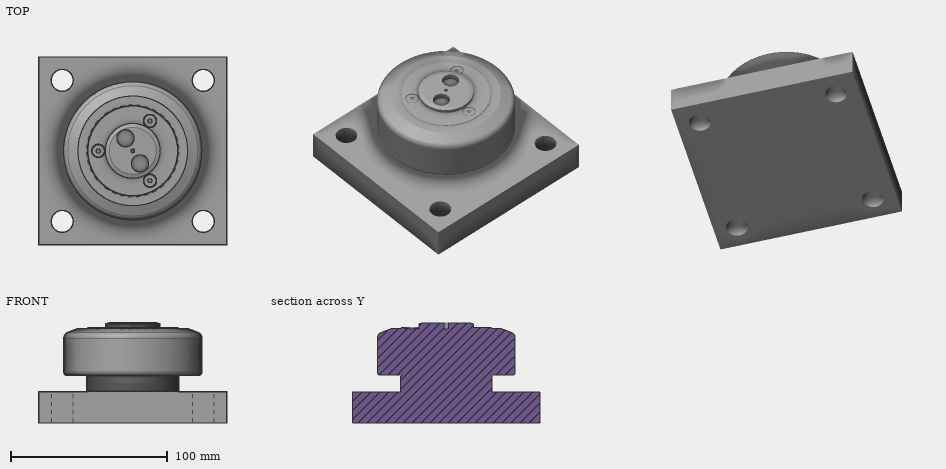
import cadquery as cq
import math

plate_side = 120.0
plate_thickness = 20.0
mount_hole_spacing = 90.0
mount_hole_diameter = 13.84

neck_diameter = 59.0
neck_chamfer = 0.5

spacer_diameter = 57.8
spacer_height = 0.5

roller_diameter = 88.3
roller_width = 30.0
roller_gap = 10.4
roller_top_diameter = 70.0
cone_angle = 21.0
shoulder_radius = 4.1
lower_edge_radius = 2.0

cover_diameter = 57.8
cover_rise = 0.6
cover_chamfer = 0.3

overall_height = 64.0
pin_diameter = 35.0
pin_top_diameter = 30.0
pin_cone_height = 0.67
spanner_hole_diameter = 11.0
spanner_hole_depth = 4.0
spanner_circle_radius = 9.25
spanner_hole_angle = 120.0
centre_hole_diameter = 2.5
centre_hole_depth = 4.0

screw_count = 3
screw_first_angle = 60.0
screw_circle_radius = 22.0
screw_bore_diameter = 8.6
screw_bore_depth = 1.0
screw_head_diameter = 7.8
screw_head_height = 0.8
screw_socket_flats = 2.5
screw_socket_depth = 0.7

roller_bottom_z = plate_thickness + roller_gap
roller_top_z = roller_bottom_z + roller_width
cover_top_z = roller_top_z + cover_rise


def disc(diameter, bottom_z, top_z, x=0.0, y=0.0):
    """Vertical cylinder between two levels."""
    return cq.Workplane("XY", origin=(x, y, bottom_z)).circle(diameter / 2).extrude(top_z - bottom_z)


def polar(radius, angle):
    """Point on a circle about the part's axis, with the angle in degrees."""
    return radius * math.cos(math.radians(angle)), radius * math.sin(math.radians(angle))


def make_plate():
    """Square plate with four mounting holes."""
    plate = cq.Workplane("XY").box(plate_side, plate_side, plate_thickness, centered=(True, True, False))
    return (
        plate.faces(">Z")
        .workplane()
        .rect(mount_hole_spacing, mount_hole_spacing, forConstruction=True)
        .vertices()
        .hole(mount_hole_diameter)
    )


def make_neck():
    """Round neck, chamfered at its foot, with a narrower spacer ring on top."""
    spacer_bottom_z = roller_bottom_z - spacer_height
    neck = disc(neck_diameter, plate_thickness, spacer_bottom_z).faces("<Z").chamfer(neck_chamfer)
    return neck.union(disc(spacer_diameter, spacer_bottom_z, roller_bottom_z))


def make_roller():
    """Revolved roller whose cone and lower edge run into the rim through tangent arcs."""
    rim_radius = roller_diameter / 2
    top_radius = roller_top_diameter / 2
    slope = math.radians(cone_angle)

    shoulder_x = rim_radius - shoulder_radius
    tangent_x = shoulder_x + shoulder_radius * math.sin(slope)
    tangent_z = roller_top_z - (tangent_x - top_radius) * math.tan(slope)
    shoulder_z = tangent_z - shoulder_radius * math.cos(slope)
    middle_angle = (math.pi / 2 - slope) / 2
    shoulder_middle = (
        shoulder_x + shoulder_radius * math.cos(middle_angle),
        shoulder_z + shoulder_radius * math.sin(middle_angle),
    )

    lower_x = rim_radius - lower_edge_radius
    lower_z = roller_bottom_z + lower_edge_radius
    lower_reach = lower_edge_radius * math.sqrt(0.5)

    profile = (
        cq.Workplane("XZ")
        .moveTo(0, roller_bottom_z)
        .lineTo(lower_x, roller_bottom_z)
        .threePointArc((lower_x + lower_reach, lower_z - lower_reach), (rim_radius, lower_z))
        .lineTo(rim_radius, shoulder_z)
        .threePointArc(shoulder_middle, (tangent_x, tangent_z))
        .lineTo(top_radius, roller_top_z)
        .lineTo(0, roller_top_z)
        .close()
    )
    return profile.revolve(360, (0, 0, 0), (0, 1, 0))


def make_pin():
    """Exposed pin end with a shallow cone around its top face."""
    pin_radius = pin_diameter / 2
    profile = (
        cq.Workplane("XZ")
        .moveTo(0, cover_top_z)
        .lineTo(pin_radius, cover_top_z)
        .lineTo(pin_radius, overall_height - pin_cone_height)
        .lineTo(pin_top_diameter / 2, overall_height)
        .lineTo(0, overall_height)
        .close()
    )
    return profile.revolve(360, (0, 0, 0), (0, 1, 0))


def cut_pin_holes(body):
    """Cut two opposite spanner holes and a small centre hole into the pin end."""
    for angle in (spanner_hole_angle, spanner_hole_angle + 180):
        x, y = polar(spanner_circle_radius, angle)
        body = body.cut(disc(spanner_hole_diameter, overall_height - spanner_hole_depth, overall_height, x, y))
    return body.cut(disc(centre_hole_diameter, overall_height - centre_hole_depth, overall_height))


def hexagonal_socket(head_top_z, x, y):
    """Hexagonal prism filling the socket of one screw, with corners along X."""
    corner_diameter = screw_socket_flats / math.cos(math.pi / 6)
    origin = (x, y, head_top_z - screw_socket_depth)
    return cq.Workplane("XY", origin=origin).polygon(6, corner_diameter).extrude(screw_socket_depth)


def cut_cover_screws(body):
    """Cut the counterbores around the cover screws, leaving each head with its socket."""
    for index in range(screw_count):
        x, y = polar(screw_circle_radius, screw_first_angle + index * 360 / screw_count)
        bore_floor_z = cover_top_z - screw_bore_depth
        head_top_z = bore_floor_z + screw_head_height
        bore = disc(screw_bore_diameter, bore_floor_z, cover_top_z, x, y)
        head = disc(screw_head_diameter, bore_floor_z, head_top_z, x, y)
        socket = hexagonal_socket(head_top_z, x, y)
        body = body.cut(bore.cut(head.cut(socket)))
    return body


def make_cover():
    """Raised disc with a small chamfer around its top edge."""
    return disc(cover_diameter, roller_top_z, cover_top_z).faces(">Z").chamfer(cover_chamfer)


body = make_plate().union(make_neck()).union(make_roller()).union(make_cover())
body = cut_cover_screws(body).union(make_pin())
result = cut_pin_holes(body)